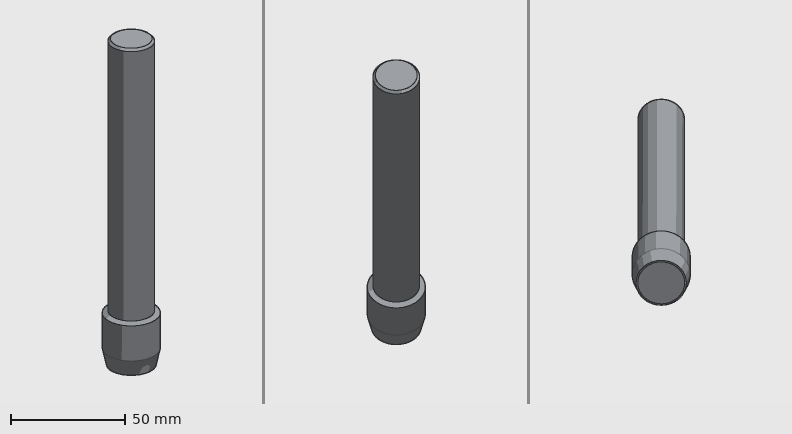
import cadquery as cq

TOTAL_HEIGHT = 160.0
ROD_DIAMETER = 20.5
ROD_CHAMFER = 1.1
SLEEVE_DIAMETER = 25.5
SLEEVE_TIP_DIAMETER = 22.0
SLEEVE_HEIGHT = 26.4
NOSE_HEIGHT = 8.0
SHOULDER_HEIGHT = 1.1

rod_radius = ROD_DIAMETER / 2
sleeve_radius = SLEEVE_DIAMETER / 2
tip_radius = SLEEVE_TIP_DIAMETER / 2


def make_rod():
    """Round rod running the full height, chamfered at its top."""
    return cq.Workplane("XY").circle(rod_radius).extrude(TOTAL_HEIGHT).faces(">Z").chamfer(ROD_CHAMFER)


def make_sleeve():
    """Sleeve around the rod's lower end, with a conical shoulder and a tapered nose."""
    profile = (
        cq.Workplane("XZ")
        .moveTo(rod_radius, 0)
        .lineTo(tip_radius, 0)
        .lineTo(sleeve_radius, NOSE_HEIGHT)
        .lineTo(sleeve_radius, SLEEVE_HEIGHT - SHOULDER_HEIGHT)
        .lineTo(rod_radius, SLEEVE_HEIGHT)
        .close()
    )
    return profile.revolve(360, (0, 0, 0), (0, 1, 0))


rod = make_rod()
sleeve = make_sleeve()
result = cq.Compound.makeCompound([rod.val(), sleeve.val()])